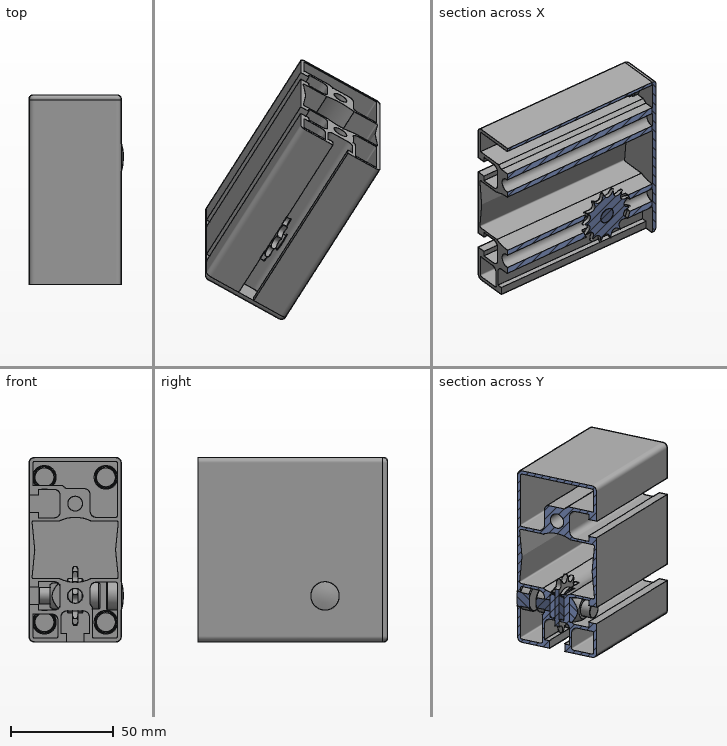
import cadquery as cq
import math


height = 90.0
width = height / 2
length = height
outer_radius = 2.7
wall = 1.9
cavity_radius = 0.7

half_width = width / 2
half_height = height / 2
inner_x = half_width - wall
inner_z = half_height - wall

core_z = height / 4
core_half = 7.3
core_hole_radius = 3.6
core_fillet = 3.0
ramp_start_x = -6.4
ramp_end_x = -4.3

slot_half_opening = 4.3
slot_half_inside = 6.9
slot_fillet = 3.0
side_slot_lip = 4.6
bottom_slot_lip = 4.2
shoulder_drop = 1.7
slot_wall = 1.5
step_z = core_z + slot_half_inside + wall

middle_half_height = 14.1
middle_corner_x = 21.1
middle_waist_x = 19.7
arch_half_width = 7.8
arch_height = 15.8
side_cavity_floor = 15.8

total_length = 92.5
cap_thickness = total_length - length
cap_edge_radius = 1.9
stud_x = 15.0
stud_z = 35.3
stud_radius = 5.7
stud_neck_radius = 5.2
stud_tip_radius = 4.6
stud_length = 4.6
stud_neck_length = 1.4

bolt_y = 62.0
bolt_z = -core_z
bolt_radius = 4.1
bolt_tip_x = -17.6
bolt_head_radius = 6.5
bolt_head_x = 12.0
bolt_tip_chamfer = 0.2
bolt_head_chamfer = 0.6

nut_side = 12.6
nut_outer_x = -12.2
nut_inner_x = -core_half
nut_face_radius = 5.5
nut_cone_slope = 1.2

wheel_thickness = 2.7
wheel_radius = 14.6
tooth_count = 14
first_tooth_angle = 176.9
gap_apex_radius = 9.0
gap_fillet = 2.2
tooth_bevel_width = 0.6
tooth_bevel_depth = 1.3

collar_radius = 8.4
collar_width = 2.5
collar_chamfer = 0.5
collar_inner_x = wheel_thickness / 2
collar_outer_x = collar_inner_x + collar_width

total_width = 46.1
plug_radius = 6.9
plug_inner_x = 15.4
plug_rim = 0.1
plug_dome = total_width - width - plug_rim
plug_chamfer = 0.5


def section(y=0.0):
    """XZ workplane at the given y whose extrusions run towards +Y for negative distances."""
    return cq.Workplane("XZ", origin=(0, y, 0))


def prism(sketch, depth):
    """Extrude an XZ sketch towards +Y."""
    return sketch.extrude(-depth)


def channel(points):
    """Straight-sided channel through the full length of the profile."""
    return prism(section().polyline(points).close(), length)


def round_edges_at(solid, corners, radius):
    """Round the lengthwise edges that pass through the given (x, z) corners."""
    for x, z in corners:
        edge = cq.selectors.NearestToPointSelector((x, length / 2, z))
        solid = solid.edges("|Y").edges(edge).fillet(radius)
    return solid


def x_cylinder(radius, x_start, x_end):
    """Cylinder on the bolt axis between two x positions."""
    plane = cq.Workplane("YZ", origin=(x_start, bolt_y, bolt_z))
    return plane.circle(radius).extrude(x_end - x_start)


def x_square(side, x_start, x_end):
    """Square bar on the bolt axis between two x positions."""
    plane = cq.Workplane("YZ", origin=(x_start, bolt_y, bolt_z))
    return plane.rect(side, side).extrude(x_end - x_start)


def rounded_block(y, depth):
    """Block with the outer outline of the profile."""
    block = prism(section(y).rect(width, height), depth)
    return block.edges("|Y").fillet(outer_radius)


def slot_points(lip, wall_distance, floor_distance):
    """T-slot outline as (distance from the middle, offset across the slot) pairs."""
    under_lip = wall_distance - lip
    one_side = [
        (wall_distance, slot_half_opening),
        (under_lip, slot_half_opening),
        (under_lip, slot_half_inside),
        (floor_distance, slot_half_inside),
    ]
    return one_side + [(d, -offset) for d, offset in reversed(one_side)]


def side_slot(z):
    """T-slot opening to -X at height z."""
    points = slot_points(side_slot_lip, half_width, core_half)
    slot = channel([(-d, z + offset) for d, offset in points])
    floor_corners = [(-core_half, z + slot_half_inside), (-core_half, z - slot_half_inside)]
    return round_edges_at(slot, floor_corners, slot_fillet)


def bottom_slot():
    """T-slot opening to -Z in the middle of the width."""
    floor = core_z + core_half
    points = slot_points(bottom_slot_lip, half_height, floor)
    slot = channel([(offset, -d) for d, offset in points])
    floor_corners = [(slot_half_inside, -floor), (-slot_half_inside, -floor)]
    return round_edges_at(slot, floor_corners, slot_fillet)


def upper_cavity():
    """Channel above and beside the upper core."""
    core_top = core_z + core_half
    cavity = channel([
        (-inner_x, inner_z),
        (inner_x, inner_z),
        (inner_x, side_cavity_floor),
        (core_half, side_cavity_floor),
        (core_half, core_top),
        (ramp_end_x, core_top),
        (ramp_start_x, step_z),
        (-inner_x, step_z),
    ])
    cavity = round_edges_at(cavity, [(core_half, core_top)], core_fillet)
    cavity = round_edges_at(cavity, [(core_half, side_cavity_floor)], core_fillet)
    corners = [(-inner_x, inner_z), (inner_x, inner_z), (inner_x, side_cavity_floor)]
    return round_edges_at(cavity, corners, cavity_radius)


def lower_right_cavity():
    """Channel beside the lower core, reaching down to the bottom wall."""
    left_x = slot_half_inside + slot_wall
    shoulder_z = -core_z - slot_half_inside + slot_fillet
    cavity = channel([
        (core_half, -side_cavity_floor),
        (inner_x, -side_cavity_floor),
        (inner_x, -inner_z),
        (left_x, -inner_z),
        (left_x, shoulder_z - shoulder_drop),
        (core_half, shoulder_z),
    ])
    cavity = round_edges_at(cavity, [(core_half, -side_cavity_floor)], core_fillet)
    corners = [(inner_x, -side_cavity_floor), (inner_x, -inner_z), (left_x, -inner_z)]
    return round_edges_at(cavity, corners, cavity_radius)


def lower_left_cavity():
    """Channel between the lower side slot and the bottom slot."""
    right_x = -slot_half_inside - slot_wall
    cavity = channel([
        (-inner_x, -step_z),
        (right_x, -step_z),
        (right_x, -inner_z),
        (-inner_x, -inner_z),
    ])
    cavity = round_edges_at(cavity, [(right_x, -step_z)], slot_fillet)
    corners = [(right_x, -inner_z), (-inner_x, -inner_z)]
    return round_edges_at(cavity, corners, cavity_radius)


def middle_cavity():
    """Waisted central channel, arched over both cores."""
    outline = (
        section()
        .moveTo(-middle_corner_x, middle_half_height)
        .lineTo(-arch_half_width, middle_half_height)
        .threePointArc((0, arch_height), (arch_half_width, middle_half_height))
        .lineTo(middle_corner_x, middle_half_height)
        .lineTo(middle_waist_x, 0)
        .lineTo(middle_corner_x, -middle_half_height)
        .lineTo(arch_half_width, -middle_half_height)
        .threePointArc((0, -arch_height), (-arch_half_width, -middle_half_height))
        .lineTo(-middle_corner_x, -middle_half_height)
        .lineTo(-middle_waist_x, 0)
        .close()
    )
    corners = [
        (side * middle_corner_x, end * middle_half_height) for side in (-1, 1) for end in (-1, 1)
    ]
    return round_edges_at(prism(outline, length), corners, cavity_radius)


def core_holes():
    return prism(section().pushPoints([(0, core_z), (0, -core_z)]).circle(core_hole_radius), length)


def make_studs():
    """Four round studs with a bevelled neck and a bevelled shoulder, joined to the cap."""
    corners = [(x, z) for x in (-stud_x, stud_x) for z in (-stud_z, stud_z)]
    shoulder_length = stud_length - stud_neck_length
    shoulder_start = section(length - shoulder_length).pushPoints(corners)
    shoulders = prism(shoulder_start.circle(stud_radius), shoulder_length)
    shoulders = shoulders.faces("<Y").chamfer(stud_radius - stud_neck_radius)
    neck_start = section(length - stud_length).pushPoints(corners)
    necks = prism(neck_start.circle(stud_neck_radius), stud_neck_length)
    necks = necks.faces("<Y").chamfer(stud_neck_radius - stud_tip_radius)
    return shoulders.union(necks)


def bolt_recesses():
    """Bores and pockets in the profile for the bolt, nut, wheel, collars and plug."""
    bolt_bore = x_cylinder(bolt_radius, -core_half, 0)
    collar_bore = x_cylinder(collar_radius, -collar_outer_x, collar_outer_x)
    wheel_pocket = x_cylinder(wheel_radius, -collar_inner_x, collar_inner_x)
    head_bore = x_cylinder(bolt_head_radius, 0, bolt_head_x)
    plug_bore = x_cylinder(plug_radius, plug_inner_x, half_width)
    nut_pocket = x_square(nut_side, nut_outer_x, nut_inner_x)
    return [nut_pocket, bolt_bore, collar_bore, wheel_pocket, head_bore, plug_bore]


def make_profile():
    profile = rounded_block(0, length)
    channels = [
        upper_cavity(), middle_cavity(), lower_right_cavity(), lower_left_cavity(),
        side_slot(core_z), side_slot(-core_z), bottom_slot(), core_holes(),
    ]
    for cutter in channels + bolt_recesses():
        profile = profile.cut(cutter)
    return profile.cut(make_studs())


def make_cap():
    plate = rounded_block(length, cap_thickness)
    plate = plate.faces(">Y").edges().fillet(cap_edge_radius)
    return plate.union(make_studs())


def make_bolt():
    shank = x_cylinder(bolt_radius, bolt_tip_x, collar_outer_x)
    shank = shank.faces("<X").chamfer(bolt_tip_chamfer)
    head = x_cylinder(bolt_head_radius, collar_outer_x, bolt_head_x)
    head = head.faces(">X").chamfer(bolt_head_chamfer)
    return shank.union(head)


def make_nut():
    """Square nut with a conical outer face."""
    nut_height = nut_inner_x - nut_outer_x
    block = x_square(nut_side, nut_outer_x, nut_inner_x)
    plane = cq.Workplane("YZ", origin=(nut_outer_x, bolt_y, bolt_z))
    base_radius = nut_face_radius + nut_height / nut_cone_slope
    cone = plane.circle(nut_face_radius).workplane(offset=nut_height).circle(base_radius).loft()
    bore = x_cylinder(bolt_radius, nut_outer_x, nut_inner_x)
    return block.intersect(cone).cut(bore)


def polar_point(radius, degrees):
    angle = math.radians(degrees)
    return (radius * math.cos(angle), radius * math.sin(angle))


def make_wheel():
    """Chain wheel with pointed teeth, rounded tooth gaps and a bevelled rim."""
    half = wheel_thickness / 2
    pitch = 360 / tooth_count
    outline = []
    for tooth in range(tooth_count):
        tip_angle = first_tooth_angle - tooth * pitch
        outline.append(polar_point(wheel_radius, tip_angle))
        outline.append(polar_point(gap_apex_radius, tip_angle - pitch / 2))
    plane = cq.Workplane("YZ", origin=(-half, bolt_y, bolt_z))
    wheel = plane.polyline(outline).close().extrude(wheel_thickness)
    for y, z in outline[1::2]:
        apex = cq.selectors.NearestToPointSelector((0, bolt_y + y, bolt_z + z))
        wheel = wheel.edges("|X").edges(apex).fillet(gap_fillet)
    rim_section = [
        (-half, bolt_radius),
        (half, bolt_radius),
        (half, wheel_radius - tooth_bevel_depth),
        (half - tooth_bevel_width, wheel_radius),
        (-half + tooth_bevel_width, wheel_radius),
        (-half, wheel_radius - tooth_bevel_depth),
    ]
    axis_plane = cq.Workplane("XZ", origin=(0, bolt_y, bolt_z))
    bevelled_disc = axis_plane.polyline(rim_section).close().revolve(360, (0, 0), (1, 0))
    return wheel.intersect(bevelled_disc)


def make_collar(side):
    """Collar on one side of the wheel: side is -1 (towards the nut) or +1 (towards the head)."""
    collar = x_cylinder(collar_radius, side * collar_inner_x, side * collar_outer_x)
    outer_face = ">X" if side > 0 else "<X"
    collar = collar.faces(outer_face).chamfer(collar_chamfer)
    return collar.cut(x_cylinder(bolt_radius, side * collar_inner_x, side * collar_outer_x))


def make_plug():
    """Round plug in the outer wall with a domed outer face."""
    body_length = half_width + plug_rim - plug_inner_x
    outline = (
        cq.Workplane("XY", origin=(plug_inner_x, bolt_y, bolt_z))
        .lineTo(0, plug_radius - plug_chamfer)
        .lineTo(plug_chamfer, plug_radius)
        .lineTo(body_length, plug_radius)
    )
    dome_radius = (plug_radius**2 + plug_dome**2) / (2 * plug_dome)
    half_angle = math.asin(plug_radius / dome_radius) / 2
    dome_middle = (
        body_length + plug_dome - dome_radius * (1 - math.cos(half_angle)),
        dome_radius * math.sin(half_angle),
    )
    outline = outline.threePointArc(dome_middle, (body_length + plug_dome, 0)).close()
    return outline.revolve(360, (0, 0), (1, 0))


profile = make_profile()
cap = make_cap()
bolt = make_bolt()
nut = make_nut()
wheel = make_wheel()
collars = [make_collar(side) for side in (-1, 1)]
plug = make_plug()

bodies = [profile, cap, bolt, nut, wheel, *collars, plug]
result = cq.Compound.makeCompound([body.solids().val() for body in bodies])